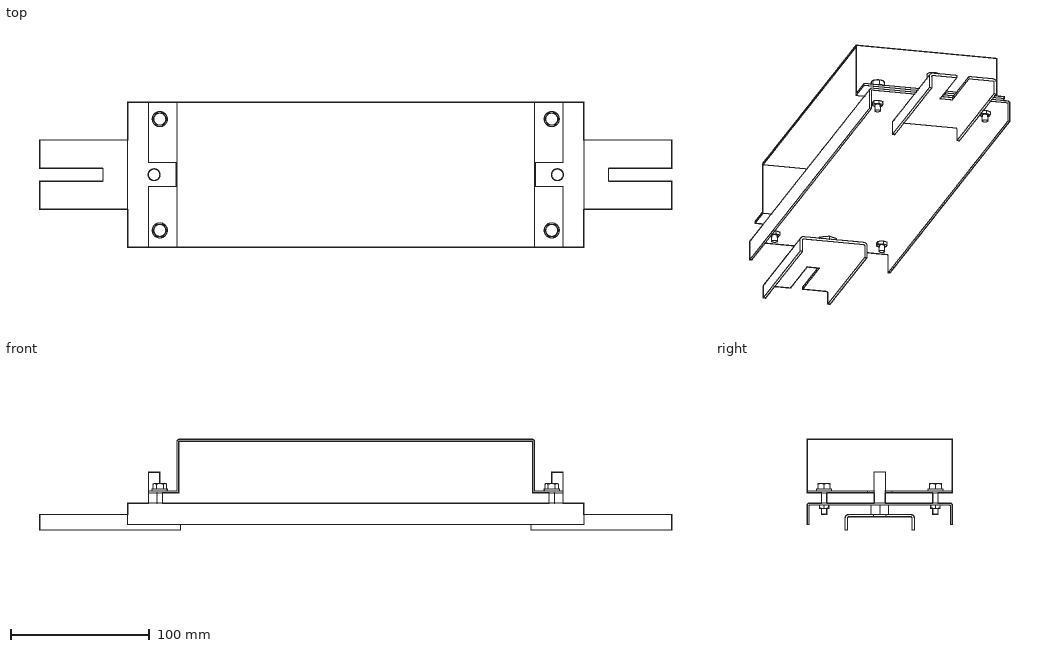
import cadquery as cq
import math

overall_length = 456.0
overall_width = 105.0
overall_height = 65.5

rail_length = 101.5
rail_width = 50.0
rail_height = 11.5
rail_thickness = 2.0
rail_bend_radius = 2.7
slot_length = 45.5
slot_width = 9.0

base_length = 329.2
base_bottom = 4.0
base_top = 19.5
base_thickness = 1.5
base_bend_radius = 2.0
base_underside = base_top - base_thickness

cover_box_length = 258.0
cover_length = 299.0
cover_bottom = 27.0
cover_thickness = 1.5
cover_bend_radius = 2.0
notch_width = 17.5
notch_gap = 0.7
foot_top = cover_bottom + cover_thickness

stud_x = 145.5
stud_diameter = 8.0
stud_top = 42.0
stud_hole_diameter = 8.5
stud_head_flats = 12.8

screw_x = 141.5
screw_y = 40.0
screw_diameter = 4.0
screw_bottom = 11.5
screw_top = 33.7
screw_head_flats = 8.5
screw_head_chamfer = 1.5
screw_flange_diameter = 11.0
screw_flange_height = 1.5
nut_flats = 7.0
nut_height = 2.5

ends = (-1, 1)
screw_places = [(x * screw_x, y * screw_y) for x in ends for y in ends]


def cylinder(diameter, bottom, top):
    """Upright round bar on the Z axis."""
    return cq.Workplane("XY").workplane(offset=bottom).circle(diameter / 2).extrude(top - bottom)


def hex_prism(across_flats, bottom, top):
    """Upright hexagonal prism on the Z axis, with corners toward +X and -X."""
    across_corners = across_flats / math.cos(math.pi / 6)
    return cq.Workplane("XY").workplane(offset=bottom).polygon(6, across_corners).extrude(top - bottom)


def make_channel(length, width, bottom, top, thickness, bend_radius):
    """Channel along X, open downward, with rounded bends of even thickness."""
    outer = (
        cq.Workplane("XY")
        .box(length, width, top - bottom, centered=(True, True, False))
        .edges("|X and >Z")
        .fillet(bend_radius)
    )
    inner = (
        cq.Workplane("XY")
        .box(length, width - 2 * thickness, top - bottom - thickness, centered=(True, True, False))
        .edges("|X and >Z")
        .fillet(bend_radius - thickness)
    )
    return outer.cut(inner).translate((0, 0, bottom))


def make_rail(end):
    """Rail at one end of the assembly, with a slot open to its outer end."""
    rail = make_channel(rail_length, rail_width, 0, rail_height, rail_thickness, rail_bend_radius)
    slot = (
        cq.Workplane("XY")
        .box(slot_length, slot_width, rail_height, centered=(True, True, False))
        .translate((end * (rail_length - slot_length) / 2, 0, 0))
    )
    return rail.cut(slot).translate((end * (overall_length - rail_length) / 2, 0, 0))


def make_base():
    """Base channel with clearance holes for the studs and fitting holes for the screws."""
    base = make_channel(
        base_length, overall_width, base_bottom, base_top, base_thickness, base_bend_radius
    )
    stud_hole = cylinder(stud_hole_diameter, base_bottom, base_top)
    for end in ends:
        base = base.cut(stud_hole.translate((end * stud_x, 0, 0)))
    for x, y in screw_places:
        base = base.cut(cylinder(screw_diameter, base_bottom, base_top).translate((x, y, 0)))
    return base


def make_cover():
    """Hat-shaped cover whose feet are notched around the studs and held by the screws."""
    half_box = cover_box_length / 2
    half_length = cover_length / 2
    half_inside = half_box - cover_thickness
    roof_underside = overall_height - cover_thickness
    cover = (
        cq.Workplane("XZ")
        .polyline([
            (-half_length, cover_bottom),
            (-half_inside, cover_bottom),
            (-half_inside, roof_underside),
            (half_inside, roof_underside),
            (half_inside, cover_bottom),
            (half_length, cover_bottom),
            (half_length, foot_top),
            (half_box, foot_top),
            (half_box, overall_height),
            (-half_box, overall_height),
            (-half_box, foot_top),
            (-half_length, foot_top),
        ])
        .close()
        .extrude(overall_width / 2, both=True)
    )
    cover = cover.edges("|Y and >Z").fillet(cover_bend_radius)
    notch_length = half_length - half_box - notch_gap
    for end in ends:
        notch = (
            cq.Workplane("XY")
            .box(notch_length, notch_width, cover_thickness, centered=(True, True, False))
            .translate((end * (half_length - notch_length / 2), 0, cover_bottom))
        )
        cover = cover.cut(notch)
    for x, y in screw_places:
        cover = cover.cut(cylinder(screw_diameter, cover_bottom, foot_top).translate((x, y, 0)))
    return cover


def make_stud(end):
    """Stud whose head fills the gap between a rail and the base."""
    head = hex_prism(stud_head_flats, rail_height, base_underside)
    bar = cylinder(stud_diameter, rail_height, stud_top)
    return head.union(bar).translate((end * stud_x, 0, 0))


def make_screw(x, y):
    """Screw with its head on a cover foot and its nut against the underside of the base."""
    flange_top = foot_top + screw_flange_height
    shank = cylinder(screw_diameter, screw_bottom, screw_top)
    flange = cylinder(screw_flange_diameter, foot_top, flange_top)
    head = hex_prism(screw_head_flats, foot_top, screw_top)
    nut = hex_prism(nut_flats, base_underside - nut_height, base_underside)
    blank_diameter = 2 * screw_head_chamfer + screw_head_flats
    blank = cylinder(blank_diameter, foot_top, screw_top).faces(">Z").chamfer(screw_head_chamfer)
    head = head.intersect(blank)
    return shank.union(flange).union(head).union(nut).translate((x, y, 0))


base = make_base()
cover = make_cover()
rails = [make_rail(end).val() for end in ends]
studs = [make_stud(end).val() for end in ends]
screws = [make_screw(x, y).val() for x, y in screw_places]

result = cq.Compound.makeCompound([base.val(), cover.val(), *rails, *studs, *screws])